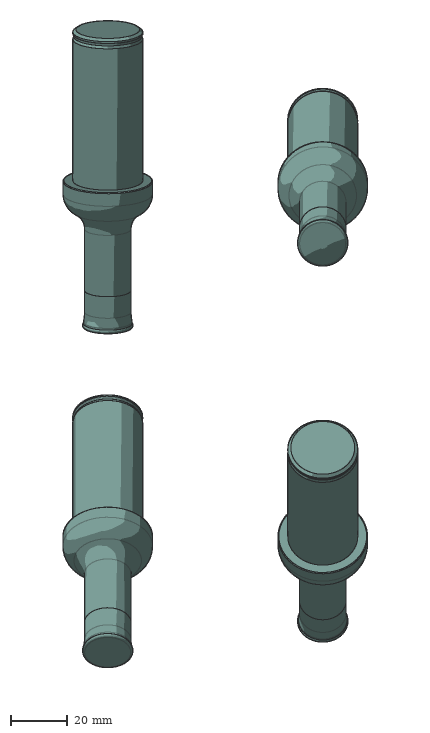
import cadquery as cq
import math

total_height = 111.0
flange_top = 55.1
flange_round_start = 50.1
neck_top = 37.1
joint_height = 14.3
flare_start = 6.3
rim_top = 2.7
bead_start = 2.0
bead_widest = 1.4
face_edge = 0.5

shank_radius = 25.0 / 2
flange_radius = 32.0 / 2
flange_round = 7.7
neck_radius = 16.6 / 2
rim_radius = 8.7
bead_radius = 9.0
face_radius = 8.2

end_chamfer_width = 1.1
end_chamfer_height = 0.9
land_height = 0.7
groove_depth = 0.3
groove_height = 1.0
groove_taper_height = 1.0
flange_chamfer = 0.3


def make_holder():
    """Shank, flange and neck, revolved about Z down to the flat joint."""
    chamfer_bottom = total_height - end_chamfer_height
    land_bottom = chamfer_bottom - land_height
    groove_bottom = land_bottom - groove_height
    taper_bottom = groove_bottom - groove_taper_height
    groove_radius = shank_radius - groove_depth

    corner_offset = groove_depth * math.sqrt(0.5)
    corner_middle = (shank_radius - corner_offset, land_bottom - groove_depth + corner_offset)

    drop = flange_round_start - neck_top
    step = flange_radius - neck_radius
    neck_round = (drop**2 + step**2) / (2 * step) - flange_round
    turn = math.asin(drop / (flange_round + neck_round))
    arcs_meet = (flange_radius - flange_round * (1 - math.cos(turn)),
                 flange_round_start - flange_round * math.sin(turn))
    flange_arc_middle = (flange_radius - flange_round * (1 - math.cos(turn / 2)),
                         flange_round_start - flange_round * math.sin(turn / 2))
    neck_arc_middle = (neck_radius + neck_round * (1 - math.cos(turn / 2)),
                       neck_top + neck_round * math.sin(turn / 2))

    profile = (
        cq.Workplane("XZ")
        .moveTo(0, joint_height)
        .lineTo(0, total_height)
        .lineTo(shank_radius - end_chamfer_width, total_height)
        .lineTo(shank_radius, chamfer_bottom)
        .lineTo(shank_radius, land_bottom)
        .threePointArc(corner_middle, (groove_radius, land_bottom - groove_depth))
        .lineTo(groove_radius, groove_bottom)
        .lineTo(shank_radius, taper_bottom)
        .lineTo(shank_radius, flange_top)
        .lineTo(flange_radius - flange_chamfer, flange_top)
        .lineTo(flange_radius, flange_top - flange_chamfer)
        .lineTo(flange_radius, flange_round_start)
        .threePointArc(flange_arc_middle, arcs_meet)
        .threePointArc(neck_arc_middle, (neck_radius, neck_top))
        .lineTo(neck_radius, joint_height)
        .close()
    )
    return profile.revolve(360, (0, 0), (0, 1))


def make_tip():
    """Tip with a flared rim, a rounded bead and a slightly domed lower face."""
    dome_radius = (face_radius**2 + face_edge**2) / (2 * face_edge)
    dome_angle = math.asin(face_radius / dome_radius) / 2
    dome_middle = (dome_radius * math.sin(dome_angle), dome_radius * (1 - math.cos(dome_angle)))

    profile = (
        cq.Workplane("XZ")
        .moveTo(0, joint_height)
        .lineTo(neck_radius, joint_height)
        .lineTo(neck_radius, flare_start)
        .tangentArcPoint((rim_radius, rim_top), relative=False)
        .lineTo(rim_radius, bead_start)
        .threePointArc((bead_radius, bead_widest), (face_radius, face_edge))
        .threePointArc(dome_middle, (0, 0))
        .close()
    )
    return profile.revolve(360, (0, 0), (0, 1))


holder = make_holder()
tip = make_tip()
result = cq.Compound.makeCompound([holder.val(), tip.val()])